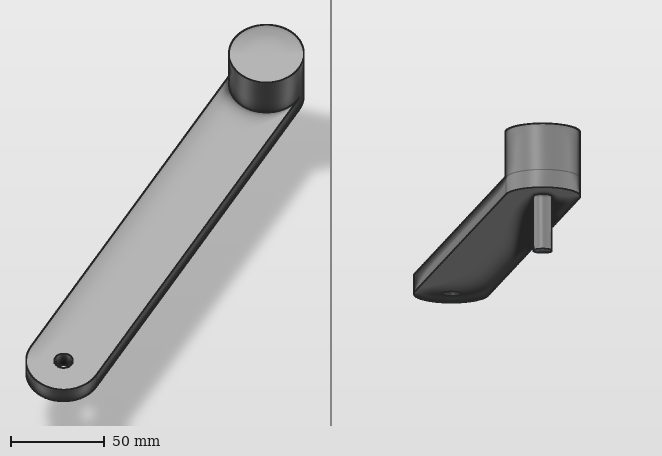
import cadquery as cq

total_length = 260.0
total_height = 65.0
arm_width = 40.0
arm_thickness = 10.0
pin_diameter = 10.0
pin_length = 30.0

pivot_spacing = total_length - arm_width
hub_y = pivot_spacing / 2
hole_y = -pivot_spacing / 2
hub_top = total_height - pin_length


def cylinder(diameter, y, z_bottom, z_top):
    """Upright cylinder on the arm's centre line."""
    base = cq.Workplane("XY", origin=(0, y, z_bottom))
    return base.circle(diameter / 2).extrude(z_top - z_bottom)


arm = cq.Workplane("XY").slot2D(total_length, arm_width, 90).extrude(arm_thickness)

hub = cylinder(arm_width, hub_y, 0, hub_top)
pin = cylinder(pin_diameter, hub_y, -pin_length, arm_thickness)

hole = cylinder(pin_diameter, hole_y, 0, arm_thickness)

result = arm.union(hub).union(pin).cut(hole)